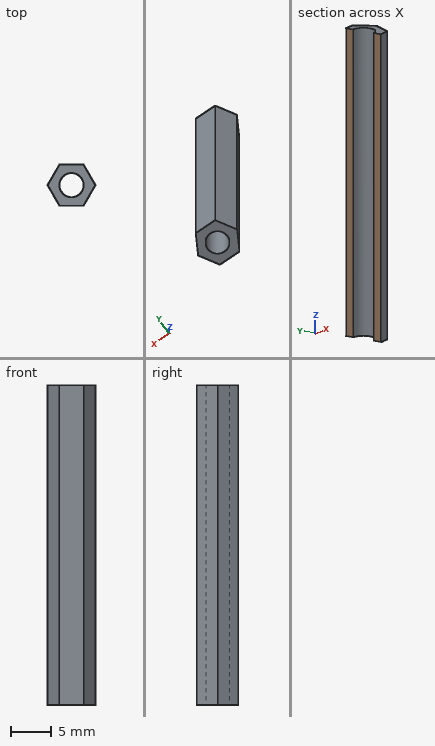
import cadquery as cq

length = 40.0
across_corners = 6.0
hole_diameter = 3.0

body = cq.Workplane("XY").polygon(6, across_corners).extrude(length)

result = body.faces(">Z").workplane().hole(hole_diameter)